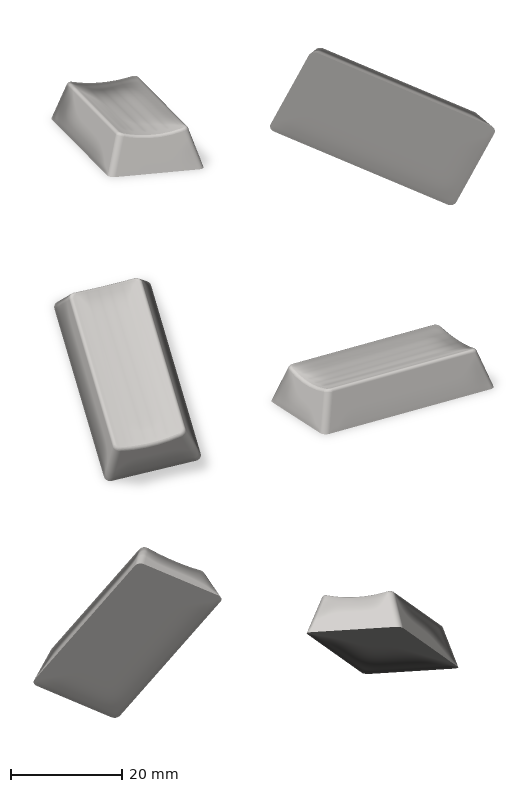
import cadquery as cq
import math

LENGTH = 37.05
WIDTH = 18.0
HEIGHT = 7.35
WALL_TAPER = 17.8
CENTRE_HEIGHT = 6.5
CORNER_RADIUS = 1.25
RIM_RADIUS = 0.6

taper = math.radians(WALL_TAPER)
rim_centre_z = HEIGHT - RIM_RADIUS
rim_centre_y = WIDTH / 2 - rim_centre_z * math.tan(taper) - RIM_RADIUS / math.cos(taper)

rise = CENTRE_HEIGHT - rim_centre_z
dish_radius = (rim_centre_y**2 + rise**2 - RIM_RADIUS**2) / (2 * (RIM_RADIUS - rise))
dish_axis_z = CENTRE_HEIGHT + dish_radius

BLANK_HEIGHT = HEIGHT + 2 * RIM_RADIUS


def tapered_blank():
    """Rectangular block with leaning walls and rounded corners."""
    block = cq.Workplane("XY").rect(LENGTH, WIDTH).extrude(BLANK_HEIGHT, taper=WALL_TAPER)
    sloping_corners = block.edges("not(#Z or |X or |Y)")
    return sloping_corners.fillet(CORNER_RADIUS)


def dish_cutter():
    """Cylinder along X that hollows the top."""
    return (
        cq.Workplane("YZ")
        .center(0, dish_axis_z)
        .circle(dish_radius)
        .extrude(LENGTH / 2, both=True)
    )


def round_rim(body):
    """Round every edge where the dish meets the walls."""
    return body.faces("%CYLINDER").faces(">Z").edges().fillet(RIM_RADIUS)


result = round_rim(tapered_blank().cut(dish_cutter()))